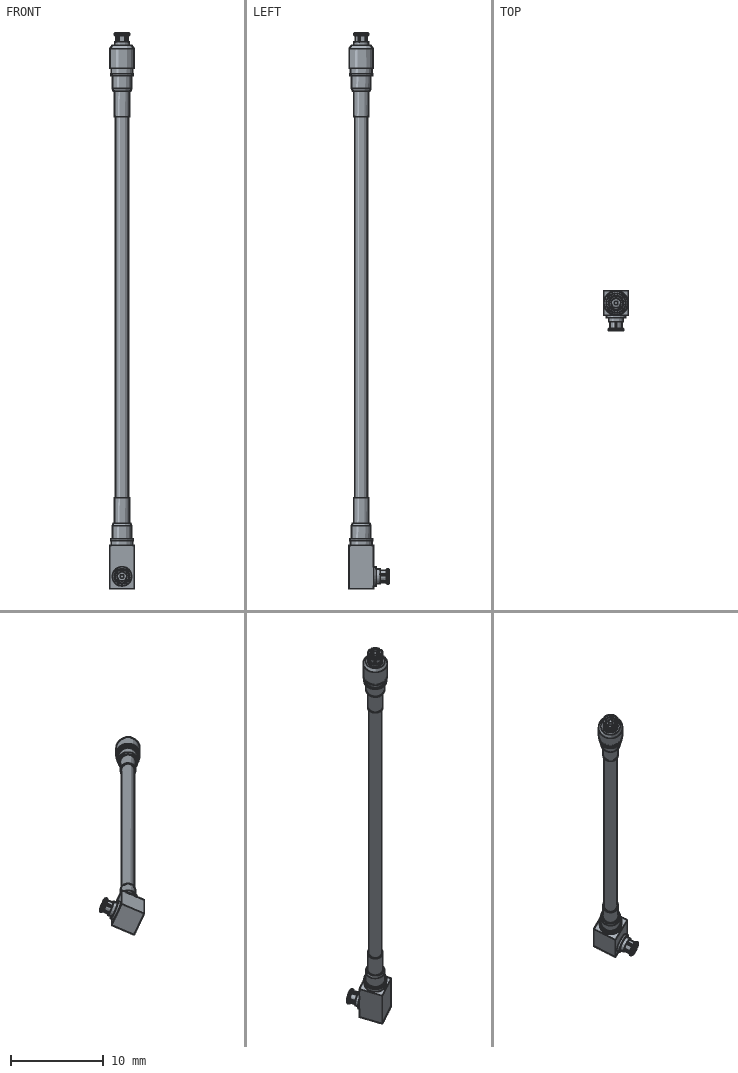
import cadquery as cq

TOTAL_LENGTH = 60.09
TOTAL_DEPTH = 4.36
CABLE_DIAMETER = 1.42

BLOCK_WIDTH = 2.67
BLOCK_HEIGHT = 4.7
BLOCK_BACK = BLOCK_WIDTH / 2
BLOCK_FRONT = -BLOCK_WIDTH / 2
PLUG_AXIS_HEIGHT = BLOCK_WIDTH / 2
FRONT_TIP = BLOCK_BACK - TOTAL_DEPTH

STEP_DIAMETER = 2.08
STEP_LENGTH = 0.28

BARREL_DIAMETER = 2.6
BARREL_START = 1.7
BARREL_END = 3.85
STRAIGHT_LENGTH = 4.4

COLLAR_DIAMETER = 2.36
COLLAR_HEIGHT = 0.5

LIP_DIAMETER = 1.65
LIP_CHAMFER = 0.1
LIP_LENGTH = 0.3
NECK_DIAMETER = 1.35
NECK_END = 0.98
SHOULDER_DIAMETER = 1.62
SHOULDER_LENGTH = 0.35
SHOULDER_END = NECK_END + SHOULDER_LENGTH
SOCKET_DIAMETER = 1.0
PIN_DIAMETER = 0.4
SLOT_COUNT = 5
FIRST_SLOT_ANGLE = 90
SLOT_WIDTH = 0.2

FLANGE_DIAMETER = 2.45
FLANGE_LENGTH = 0.22
SLEEVE_DIAMETER = 2.1
SLEEVE_END = 1.9
SLEEVE_TAPER_LENGTH = 0.3
SLEEVE_TAPER_DEPTH = 0.12
TUBE_DIAMETER = 1.65
FERRULE_LENGTH = 4.65

LOWER_FERRULE_START = BLOCK_HEIGHT + COLLAR_HEIGHT
UPPER_FERRULE_START = TOTAL_LENGTH - STRAIGHT_LENGTH


def cylinder(diameter, start, end):
    """Cylinder on the Z axis between two heights."""
    return cq.Workplane("XY").workplane(offset=start).circle(diameter / 2).extrude(end - start)


def make_plug(length):
    """Slotted snap-in plug pointing up, from its root at Z = 0 to its tip at Z = length."""
    neck_root = length - NECK_END
    plug = cylinder(SHOULDER_DIAMETER, 0, neck_root)
    plug = plug.union(cylinder(NECK_DIAMETER, neck_root, length))
    lip = cylinder(LIP_DIAMETER, length - LIP_LENGTH, length)
    plug = plug.union(lip.edges().chamfer(LIP_CHAMFER))
    plug = plug.cut(cylinder(SOCKET_DIAMETER, neck_root, length))
    for index in range(SLOT_COUNT):
        slot = (
            cq.Workplane("XY")
            .box(LIP_DIAMETER, SLOT_WIDTH, NECK_END, centered=(False, True, False))
            .translate((0, 0, neck_root))
            .rotate((0, 0, 0), (0, 0, 1), FIRST_SLOT_ANGLE + index * 360 / SLOT_COUNT)
        )
        plug = plug.cut(slot)
    return plug.union(cylinder(PIN_DIAMETER, neck_root, length))


def make_straight_housing():
    """Straight housing: collar, barrel and cone, with the plug at the top."""
    profile = [
        (0, 0),
        (COLLAR_DIAMETER / 2, 0),
        (COLLAR_DIAMETER / 2, STRAIGHT_LENGTH - BARREL_END),
        (BARREL_DIAMETER / 2, STRAIGHT_LENGTH - BARREL_END),
        (BARREL_DIAMETER / 2, STRAIGHT_LENGTH - BARREL_START),
        (STEP_DIAMETER / 2, STRAIGHT_LENGTH - SHOULDER_END),
        (0, STRAIGHT_LENGTH - SHOULDER_END),
    ]
    body = cq.Workplane("XZ").polyline(profile).close().revolve(360, (0, 0, 0), (0, 1, 0))
    body = body.union(make_plug(SHOULDER_END).translate((0, 0, STRAIGHT_LENGTH - SHOULDER_END)))
    return body.translate((0, 0, UPPER_FERRULE_START))


def make_angle_housing():
    """Block with the collar on top and the plug on its front face, pointing to -Y."""
    block = cq.Workplane("XY").rect(BLOCK_WIDTH, BLOCK_WIDTH).extrude(BLOCK_HEIGHT)
    block = block.union(cylinder(COLLAR_DIAMETER, BLOCK_HEIGHT, LOWER_FERRULE_START))
    plug = make_plug(BLOCK_FRONT - FRONT_TIP).union(cylinder(STEP_DIAMETER, 0, STEP_LENGTH))
    plug = plug.rotate((0, 0, 0), (1, 0, 0), 90).translate((0, BLOCK_FRONT, PLUG_AXIS_HEIGHT))
    return block.union(plug)


def make_ferrule():
    """Stepped sleeve with its flange at Z = 0 and the cable bore through it."""
    sleeve = cylinder(SLEEVE_DIAMETER, 0, SLEEVE_END)
    sleeve = sleeve.faces(">Z").edges().chamfer(SLEEVE_TAPER_LENGTH, SLEEVE_TAPER_DEPTH)
    ferrule = cylinder(FLANGE_DIAMETER, 0, FLANGE_LENGTH).union(sleeve)
    ferrule = ferrule.union(cylinder(TUBE_DIAMETER, 0, FERRULE_LENGTH))
    return ferrule.cut(cylinder(CABLE_DIAMETER, 0, FERRULE_LENGTH))


straight_housing = make_straight_housing()
angle_housing = make_angle_housing()
cable = cylinder(CABLE_DIAMETER, LOWER_FERRULE_START, UPPER_FERRULE_START)

ferrules = []
for start, tilt in ((LOWER_FERRULE_START, 0), (UPPER_FERRULE_START, 180)):
    ferrule = make_ferrule().rotate((0, 0, 0), (1, 0, 0), tilt).translate((0, 0, start))
    ferrules.append(ferrule.val())

result = cq.Compound.makeCompound([straight_housing.val(), angle_housing.val(), cable.val(), *ferrules])